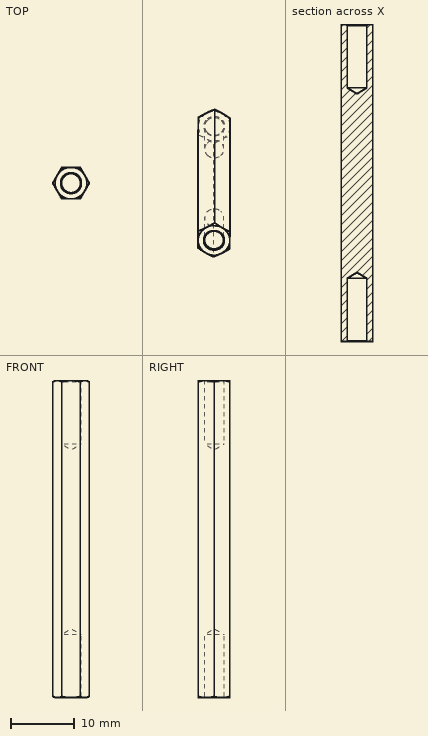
import cadquery as cq
import math

length = 50.0
across_flats = 5.0
across_corners = across_flats / math.cos(math.pi / 6)

end_face_diameter = 5.0
chamfer_angle = math.radians(30)

hole_diameter = 3.0
hole_depth = 10.0
drill_point_angle = math.radians(118)
countersink_diameter = 3.3


def make_hexagon_bar():
    """Hexagonal bar with corners on the X axis and flats facing Y."""
    return cq.Workplane("XY").polygon(6, across_corners).extrude(length)


def make_chamfer_envelope():
    """Round body with conical ends that bevel only the hexagon corners."""
    end_radius = end_face_diameter / 2
    outer_radius = across_corners / 2
    bevel_height = (outer_radius - end_radius) * math.tan(chamfer_angle)
    return (
        cq.Workplane("XZ")
        .moveTo(0, 0)
        .lineTo(end_radius, 0)
        .lineTo(outer_radius, bevel_height)
        .lineTo(outer_radius, length - bevel_height)
        .lineTo(end_radius, length)
        .lineTo(0, length)
        .close()
        .revolve(360, (0, 0), (0, 1))
    )


def make_top_hole():
    """Countersunk blind hole entering from the top end."""
    radius = hole_diameter / 2
    mouth_radius = countersink_diameter / 2
    countersink_depth = mouth_radius - radius
    point_depth = radius / math.tan(drill_point_angle / 2)
    return (
        cq.Workplane("XZ")
        .moveTo(0, length)
        .lineTo(mouth_radius, length)
        .lineTo(radius, length - countersink_depth)
        .lineTo(radius, length - hole_depth)
        .lineTo(0, length - hole_depth - point_depth)
        .close()
        .revolve(360, (0, 0), (0, 1))
    )


top_hole = make_top_hole()
bottom_hole = top_hole.mirror("XY", (0, 0, length / 2))

result = (
    make_hexagon_bar()
    .intersect(make_chamfer_envelope())
    .cut(top_hole)
    .cut(bottom_hole)
)